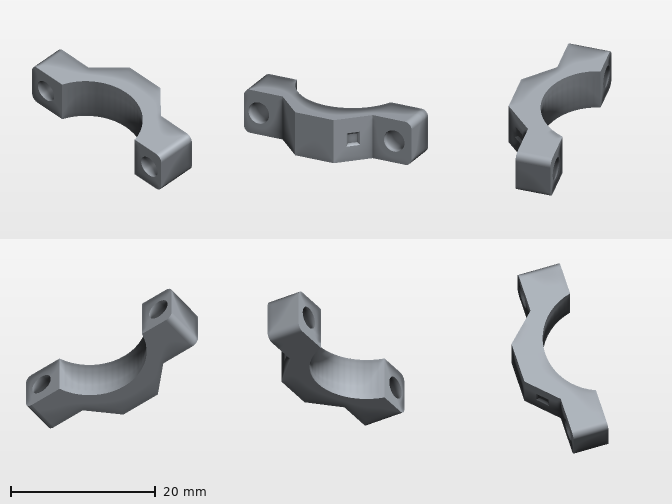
import cadquery as cq
import math

length = 26
depth = 10.0
height = 6.5

lug_back = 6.0
left_lug_front = 0.95
bridge_rise = depth - lug_back
shoulder_start = 6.0
shoulder_end = shoulder_start + bridge_rise
corner_radius = 1.0

clamp_x = 13.18
clamp_radius = 7.9
clamp_y = lug_back - clamp_radius
screw_pitch = 21.0
screw_diameter = 3.2

recess_side = 2.0
recess_depth = 0.35
recess_wall_angle = 45


def clamp_half_width(y):
    """Half the bore's chord at a given Y."""
    return math.sqrt(clamp_radius**2 - (y - clamp_y) ** 2)


def make_body():
    left_mouth = clamp_x - clamp_half_width(left_lug_front)
    right_mouth = clamp_x + clamp_half_width(0)
    body = (
        cq.Workplane("XY")
        .moveTo(0, left_lug_front)
        .lineTo(left_mouth, left_lug_front)
        .threePointArc((clamp_x, lug_back), (right_mouth, 0))
        .lineTo(length, 0)
        .lineTo(length, lug_back)
        .lineTo(length - shoulder_start, lug_back)
        .lineTo(length - shoulder_end, depth)
        .lineTo(shoulder_end, depth)
        .lineTo(shoulder_start, lug_back)
        .lineTo(0, lug_back)
        .close()
        .extrude(height)
    )
    return body.faces("<X or >X").edges("|Y").fillet(corner_radius)


def make_screw_holes():
    return (
        cq.Workplane("XZ", origin=(clamp_x, 0, height / 2))
        .rarray(screw_pitch, 0.25, 2, 1)
        .circle(screw_diameter / 2)
        .extrude(-depth)
    )


def make_recess():
    shoulder_centre = (
        (shoulder_start + shoulder_end) / 2,
        (lug_back + depth) / 2,
        height / 2,
    )
    into_shoulder = cq.Plane(origin=shoulder_centre, xDir=(1, 1, 0), normal=(1, -1, 0))
    return (
        cq.Workplane(into_shoulder)
        .rect(recess_side, recess_side)
        .extrude(recess_depth, taper=recess_wall_angle)
    )


result = make_body().cut(make_screw_holes()).cut(make_recess())